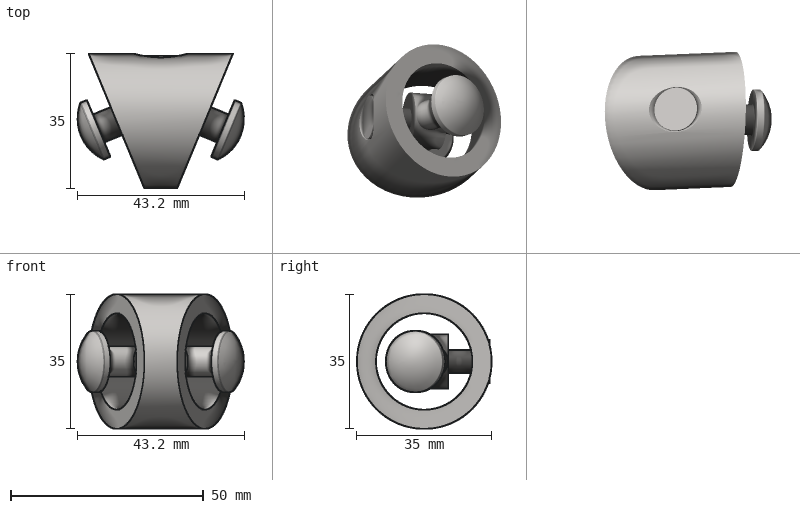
import cadquery as cq
import math

RING_DIAMETER = 35.0
RING_BORE = 25.0
RING_MID_HALF_LENGTH = 11.5
TILT = 22.5
CLEARANCE_HOLE = 6.6

SCREW_DIAMETER = 6.0
SCREW_HEAD_DIAMETER = 11.32
SCREW_HEAD_HEIGHT = 3.45
SCREW_TOP_Y = 17.0
SCREW_LENGTH = 25.02
SCREW_TIP_DIAMETER = 5.0

HUB_DIAMETER = 14.18
HUB_BACK_Y = 6.25
HUB_FRONT_Y = -2.38
ARM_AXIS_Y = 4.75
ARM_DIAMETER = 7.85
ARM_LENGTH = 17.4
BUTTON_DIAMETER = 16.0
BUTTON_RIM = 1.85
BUTTON_DOME_HEIGHT = 3.15
BUTTON_FILLET = 0.2

tilt_slope = math.tan(math.radians(TILT))
ring_radius = RING_DIAMETER / 2
screw_radius = SCREW_DIAMETER / 2
head_radius = SCREW_HEAD_DIAMETER / 2
seat_start_y = SCREW_TOP_Y - SCREW_HEAD_HEIGHT
screw_tip_y = SCREW_TOP_Y - SCREW_LENGTH


def cylinder_along_y(diameter, start_y, end_y):
    """Solid cylinder on the Y axis between two Y positions."""
    base = cq.Workplane("XZ", origin=(0, end_y, 0))
    return base.circle(diameter / 2).extrude(end_y - start_y)


def revolve_about_y(profile):
    """Turn a closed (radius, y) outline about the Y axis."""
    outline = cq.Workplane("XY").polyline(profile).close()
    return outline.revolve(360, (0, 0, 0), (0, 1, 0))


def make_ring():
    back = RING_MID_HALF_LENGTH + ring_radius * tilt_slope
    front = RING_MID_HALF_LENGTH - ring_radius * tilt_slope
    tube = cq.Workplane("YZ").circle(ring_radius).circle(RING_BORE / 2).extrude(back, both=True)
    wedge = (
        cq.Workplane("XY")
        .polyline([(-back, ring_radius), (back, ring_radius), (front, -ring_radius), (-front, -ring_radius)])
        .close()
        .extrude(ring_radius, both=True)
    )
    ring = tube.intersect(wedge)

    hole = cylinder_along_y(CLEARANCE_HOLE, 0, ring_radius)
    mouth_radius = screw_radius + ring_radius - seat_start_y
    countersink = revolve_about_y(
        [(0, seat_start_y), (screw_radius, seat_start_y), (mouth_radius, ring_radius), (0, ring_radius)]
    )
    return ring.cut(hole).cut(countersink)


def make_screw():
    tip_radius = SCREW_TIP_DIAMETER / 2
    tip_chamfer = screw_radius - tip_radius
    cone_end_y = seat_start_y + head_radius - screw_radius
    return revolve_about_y(
        [
            (0, screw_tip_y),
            (tip_radius, screw_tip_y),
            (screw_radius, screw_tip_y + tip_chamfer),
            (screw_radius, seat_start_y),
            (head_radius, cone_end_y),
            (head_radius, SCREW_TOP_Y),
            (0, SCREW_TOP_Y),
        ]
    )


def make_arm(side):
    """Arm with its domed button; side is +1 towards +X and -1 towards -X."""
    button_radius = BUTTON_DIAMETER / 2
    rim_end = ARM_LENGTH + BUTTON_RIM
    apex = rim_end + BUTTON_DOME_HEIGHT
    dome_radius = (button_radius**2 + BUTTON_DOME_HEIGHT**2) / (2 * BUTTON_DOME_HEIGHT)
    half_angle = math.asin(button_radius / dome_radius) / 2
    dome_mid = (
        dome_radius * math.sin(half_angle),
        apex - dome_radius * (1 - math.cos(half_angle)),
    )
    arm = (
        cq.Workplane("XY")
        .lineTo(ARM_DIAMETER / 2, 0)
        .lineTo(ARM_DIAMETER / 2, ARM_LENGTH)
        .lineTo(button_radius, ARM_LENGTH)
        .lineTo(button_radius, rim_end)
        .threePointArc(dome_mid, (0, apex))
        .close()
        .revolve(360, (0, 0, 0), (0, 1, 0))
    )
    sharp_edges = [
        edge
        for edge in arm.edges("%CIRCLE").vals()
        if edge.IsClosed() and edge.Center().y > ARM_LENGTH / 2
    ]
    arm = arm.newObject(sharp_edges).fillet(BUTTON_FILLET)
    return (
        arm.rotate((0, 0, 0), (0, 0, 1), -side * (90 + TILT))
        .translate((0, ARM_AXIS_Y, 0))
    )


def make_yoke():
    hub = cylinder_along_y(HUB_DIAMETER, HUB_FRONT_Y, HUB_BACK_Y)
    arm_space_depth = HUB_BACK_Y + RING_DIAMETER
    arm_space = (
        cq.Workplane("XY")
        .box(2 * RING_DIAMETER, arm_space_depth, RING_DIAMETER)
        .translate((0, HUB_BACK_Y - arm_space_depth / 2, 0))
    )
    yoke = hub
    for side in (-1, 1):
        yoke = yoke.union(make_arm(side).intersect(arm_space))
    return yoke.cut(cylinder_along_y(SCREW_DIAMETER, HUB_FRONT_Y, HUB_BACK_Y))


ring = make_ring()
screw = make_screw()
yoke = make_yoke()

result = cq.Compound.makeCompound([ring.val(), screw.val(), yoke.val()])